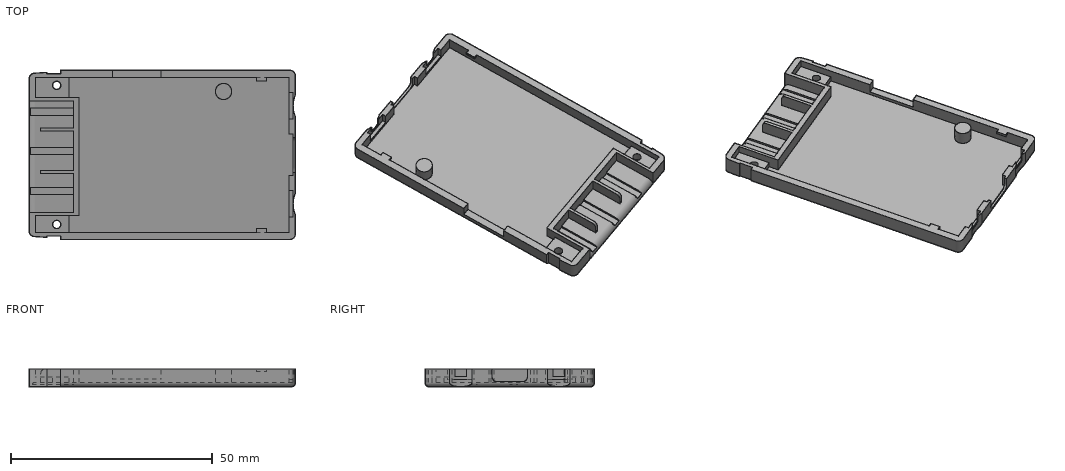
import cadquery as cq

LENGTH = 66.0
WIDTH = 42.0
HEIGHT = 4.5
X_MIN = -LENGTH / 2
X_MAX = LENGTH / 2
Y_MAX = WIDTH / 2
CORNER_RADIUS = 1.45
BOTTOM_FILLET = 1.05

FLOOR = 1.1
END_WALL = 1.6
SIDE_WALL = 1.8
CAVITY_X_MIN = X_MIN + END_WALL
CAVITY_X_MAX = X_MAX - END_WALL
CAVITY_Y_MAX = Y_MAX - SIDE_WALL

NOSE_LENGTH = 7.85
NOSE_INSET = 0.85
CATCH_LENGTH = 4.4
CATCH_INSET_FRONT = 0.7
CATCH_INSET_BACK = 0.5

BAY_X_MAX = X_MIN + 11.0
BAY_BACK_WALL = 1.4
BAY_Y_MIN = -14.3
BAY_Y_MAX = 13.4
BAY_WALL_LOW = 0.65
BAY_WALL_HIGH = 0.85
LIP_RADIUS = 1.85

GROOVE_CENTRES = (10.7, 1.0, -9.0)
GROOVE_WIDTH = 1.8
GROOVE_Z = 0.6

DIVIDER_CENTRES = (6.35, -4.3)
DIVIDER_THICKNESS = 0.7
DIVIDER_X_MIN = X_MIN + 2.9
DIVIDER_RADIUS = 1.1

PAD_X_MAX = X_MIN + 9.9
PAD_Z = 2.5
HOLE_X = X_MIN + 6.85
HOLE_Y = 17.2
HOLE_DIAMETER = 2.0

POST_X = 15.2
POST_Y = 15.7
POST_DIAMETER = 4.0

TAB_X_MIN = X_MAX - 9.7
TAB_LENGTH = 2.5
TAB_REACH = 0.9
TAB_THICKNESS = 0.65

SIDE_NOTCH_X_MIN = X_MIN + 20.7
SIDE_NOTCH_LENGTH = 11.95
SIDE_NOTCH_Z = 2.0

RECESS_DEPTH = 0.9
WINDOW_RECESS_WIDTH = 10.2
WINDOW_WIDTH = 8.7
WINDOW_RADIUS = 1.1
WINDOW_Z = 1.3
LATCH_Y = 12.15
LATCH_RECESS_WIDTH = 6.6
LATCH_LEDGE_Z = 1.85
SCOOP_RADIUS = 7.1
SCOOP_DEPTH = 0.56
LATCH_GAP_WIDTH = 2.9
LATCH_GAP_Z = 2.6


def block(x0, x1, y0, y1, z0, z1):
    """Box between two opposite corners."""
    return cq.Workplane("XY").box(x1 - x0, y1 - y0, z1 - z0, centered=False).translate((x0, y0, z0))


def nose_trim():
    """Material removed from the +Y flank of the nose, rounded at the front corner."""
    front_y = Y_MAX - CATCH_INSET_FRONT
    return (
        cq.Workplane("XY")
        .moveTo(X_MIN, Y_MAX)
        .lineTo(X_MIN, front_y - CORNER_RADIUS)
        .radiusArc((X_MIN + CORNER_RADIUS, front_y), CORNER_RADIUS)
        .lineTo(X_MIN + CATCH_LENGTH, Y_MAX - CATCH_INSET_BACK)
        .lineTo(X_MIN + CATCH_LENGTH, Y_MAX - NOSE_INSET)
        .lineTo(X_MIN + NOSE_LENGTH, Y_MAX - NOSE_INSET)
        .lineTo(X_MIN + NOSE_LENGTH, Y_MAX)
        .close()
        .extrude(HEIGHT)
    )


def outer_body():
    """Solid tray blank, rounded along the bottom except at the flat -X end."""
    body = block(X_MIN, X_MAX, -Y_MAX, Y_MAX, 0, HEIGHT)
    body = body.edges("|Z and >X").fillet(CORNER_RADIUS)
    body = body.faces("<Z").edges("not <X").fillet(BOTTOM_FILLET)
    trim = nose_trim()
    return body.cut(trim).cut(trim.mirror("XZ"))


def cavity():
    """Main cavity, leaving the walls around the connector bay and the screw pads."""
    space = block(CAVITY_X_MIN, CAVITY_X_MAX, -CAVITY_Y_MAX, CAVITY_Y_MAX, FLOOR, HEIGHT)
    bay_block_x_max = BAY_X_MAX + BAY_BACK_WALL
    bay_block = block(
        X_MIN, bay_block_x_max, BAY_Y_MIN - BAY_WALL_LOW, BAY_Y_MAX + BAY_WALL_HIGH, 0, HEIGHT
    )
    pads = block(X_MIN, PAD_X_MAX, -Y_MAX, Y_MAX, 0, PAD_Z)
    return space.cut(bay_block).cut(pads)


def bay():
    """Connector bay with a rounded lip rolling down to the -X edge."""
    space = (
        cq.Workplane("XZ")
        .moveTo(X_MIN, HEIGHT)
        .lineTo(X_MIN, 0)
        .radiusArc((X_MIN + END_WALL, FLOOR), LIP_RADIUS)
        .lineTo(BAY_X_MAX, FLOOR)
        .lineTo(BAY_X_MAX, HEIGHT)
        .close()
        .extrude(-(BAY_Y_MAX - BAY_Y_MIN))
        .translate((0, BAY_Y_MIN, 0))
    )
    for y in GROOVE_CENTRES:
        groove = block(X_MIN, BAY_X_MAX, y - GROOVE_WIDTH / 2, y + GROOVE_WIDTH / 2, GROOVE_Z, HEIGHT)
        space = space.union(groove)
    return space


def divider(y):
    """Thin wall in the bay with a rounded front top corner."""
    wall = block(
        DIVIDER_X_MIN, BAY_X_MAX, y - DIVIDER_THICKNESS / 2, y + DIVIDER_THICKNESS / 2, FLOOR, HEIGHT
    )
    return wall.edges("<X and >Z").fillet(DIVIDER_RADIUS)


def tab():
    """Retaining tab on the +Y wall."""
    tab_y = CAVITY_Y_MAX - TAB_REACH
    tab_z = HEIGHT - TAB_THICKNESS
    return block(TAB_X_MIN, TAB_X_MIN + TAB_LENGTH, tab_y, CAVITY_Y_MAX, tab_z, HEIGHT)


def window():
    """Central opening in the +X wall, with rounded lower corners."""
    recess_x = CAVITY_X_MAX + RECESS_DEPTH
    half_recess = WINDOW_RECESS_WIDTH / 2
    recess = block(CAVITY_X_MAX, recess_x, -half_recess, half_recess, FLOOR, HEIGHT)
    opening = block(recess_x, X_MAX, -WINDOW_WIDTH / 2, WINDOW_WIDTH / 2, WINDOW_Z, HEIGHT)
    return recess.union(opening.edges("|X and <Z").fillet(WINDOW_RADIUS))


def latch(y):
    """Inner recess, outer scoop and gap of one latch in the +X wall."""
    half_recess = LATCH_RECESS_WIDTH / 2
    half_gap = LATCH_GAP_WIDTH / 2
    recess_x = CAVITY_X_MAX + RECESS_DEPTH
    recess = block(CAVITY_X_MAX, recess_x, y - half_recess, y + half_recess, LATCH_LEDGE_Z, HEIGHT)
    gap = block(CAVITY_X_MAX, X_MAX, y - half_gap, y + half_gap, LATCH_GAP_Z, HEIGHT)
    scoop = (
        cq.Workplane("XY")
        .center(X_MAX - SCOOP_DEPTH + SCOOP_RADIUS, y)
        .circle(SCOOP_RADIUS)
        .extrude(HEIGHT)
    )
    return recess.union(gap).union(scoop)


def post():
    """Round locating post rising to the rim."""
    return cq.Workplane("XY").center(POST_X, POST_Y).circle(POST_DIAMETER / 2).extrude(HEIGHT)


def pad_holes():
    """Screw holes through both pads."""
    centres = [(HOLE_X, HOLE_Y), (HOLE_X, -HOLE_Y)]
    return cq.Workplane("XY").pushPoints(centres).circle(HOLE_DIAMETER / 2).extrude(HEIGHT)


def side_notch():
    """Notch in the upper part of the +Y wall."""
    notch_x_max = SIDE_NOTCH_X_MIN + SIDE_NOTCH_LENGTH
    return block(SIDE_NOTCH_X_MIN, notch_x_max, CAVITY_Y_MAX, Y_MAX, SIDE_NOTCH_Z, HEIGHT)


result = outer_body().cut(cavity()).cut(bay()).cut(pad_holes()).cut(side_notch())
result = result.union(post()).union(tab()).union(tab().mirror("XZ"))

for divider_y in DIVIDER_CENTRES:
    result = result.union(divider(divider_y))

result = result.cut(window())
for latch_y in (LATCH_Y, -LATCH_Y):
    result = result.cut(latch(latch_y))